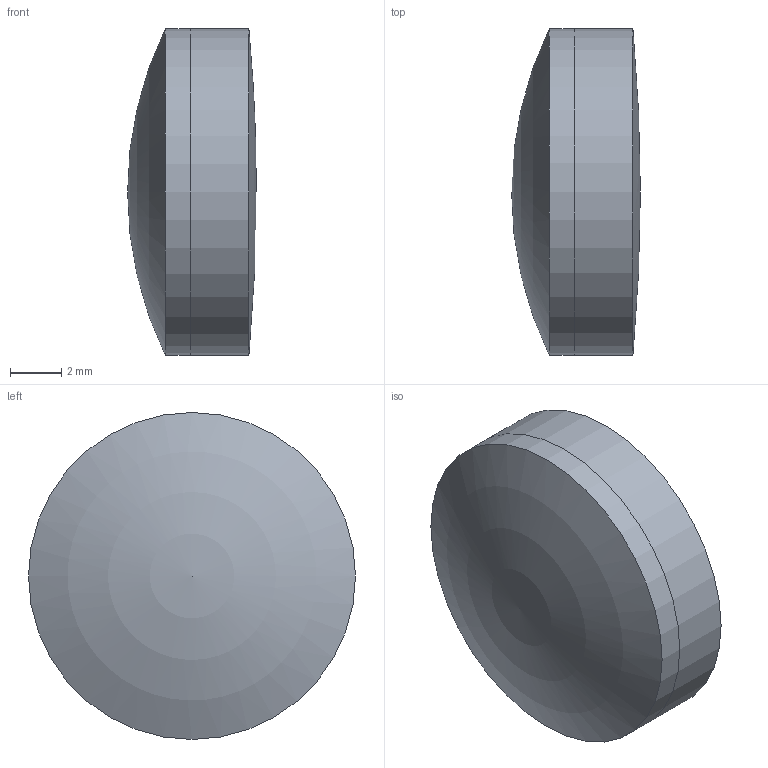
import cadquery as cq

diameter = 12.7
center_thickness = 5.0
front_dome_height = 1.47
front_rim_width = 0.97
rear_dome_height = 0.29

rim_radius = diameter / 2
front_rim_x = front_dome_height
joint_x = front_rim_x + front_rim_width
rear_rim_x = center_thickness - rear_dome_height


def sphere_radius(dome_height):
    """Radius of the spherical cap with this height and the lens rim as its base."""
    return (rim_radius**2 + dome_height**2) / (2 * dome_height)


def revolve_about_x(profile):
    """Turn a closed half profile through a full circle about the X axis."""
    return profile.revolve(360, (0, 0, 0), (1, 0, 0))


def make_front_element():
    """Convex front face, short cylindrical rim, flat back."""
    profile = (
        cq.Workplane("XY")
        .moveTo(0, 0)
        .radiusArc((front_rim_x, -rim_radius), -sphere_radius(front_dome_height))
        .lineTo(joint_x, -rim_radius)
        .lineTo(joint_x, 0)
        .close()
    )
    return revolve_about_x(profile)


def make_rear_element():
    """Flat front, wide cylindrical rim, slightly convex rear face."""
    profile = (
        cq.Workplane("XZ")
        .moveTo(joint_x, 0)
        .lineTo(joint_x, rim_radius)
        .lineTo(rear_rim_x, rim_radius)
        .radiusArc((center_thickness, 0), sphere_radius(rear_dome_height))
        .close()
    )
    return revolve_about_x(profile)


front_element = make_front_element()
rear_element = make_rear_element()

result = cq.Compound.makeCompound([front_element.val(), rear_element.val()])